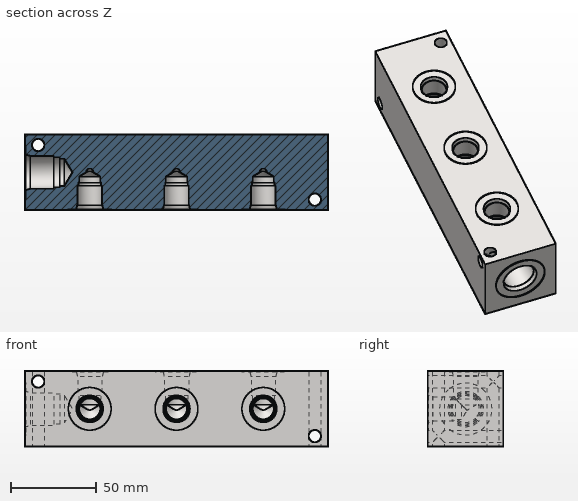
import cadquery as cq
import math

length = 177.8
side = 44.5
half_side = side / 2

port_count = 3
port_pitch = 50.9
first_port_x = length / 2 - port_pitch * (port_count - 1) / 2

mount_diameter = 7.1
mount_end_offset = 7.8
mount_center_offset = 16.0

spotface_depth = 0.5
drill_tip_half_angle = math.radians(59)

end_thread = (19.0, 16.9)
end_minor_bore = (17.5, 20.5)
end_drill = (15.8, 23.1)

side_thread = (14.2, 14.2)
side_minor_bore = (13.0, 16.2)
side_drill = (12.3, 19.7)


def port_cutter(spotface_diameter, seat_mouth_diameter, seat_end_diameter, seat_depth, bores):
    """Stepped port tool with its mouth at the origin, cutting along -Z down to a conical tip.

    The bores are (diameter, depth) pairs from the widest to the narrowest; depths start at the mouth.
    """
    profile = [
        (0, 0),
        (spotface_diameter / 2, 0),
        (spotface_diameter / 2, -spotface_depth),
        (seat_mouth_diameter / 2, -spotface_depth),
        (seat_end_diameter / 2, -seat_depth),
    ]
    bore_start = seat_depth
    for diameter, depth in bores:
        profile += [(diameter / 2, -bore_start), (diameter / 2, -depth)]
        bore_start = depth
    drill_diameter, drill_depth = bores[-1]
    tip_height = drill_diameter / 2 / math.tan(drill_tip_half_angle)
    profile.append((0, -drill_depth - tip_height))
    return cq.Workplane("XZ").polyline(profile).close().revolve(360, (0, 0, 0), (0, 1, 0))


def mount_cutter(x, y):
    """Tool for a vertical hole right through the block."""
    return cq.Workplane("XY").center(x, y).circle(mount_diameter / 2).extrude(half_side, both=True)


def cut_top_and_front(body, tool):
    """Cut a tool into the top face, then its copy turned about the X axis into the front face."""
    front_tool = tool.rotate((0, 0, 0), (1, 0, 0), 90)
    return body.cut(tool).cut(front_tool)


result = cq.Workplane("XY").box(length, side, side, centered=(False, True, True))

end_port = port_cutter(
    spotface_diameter=30.5,
    seat_mouth_diameter=20.8,
    seat_end_diameter=19.2,
    seat_depth=3.2,
    bores=[end_thread, end_minor_bore, end_drill],
)
result = result.cut(end_port.rotate((0, 0, 0), (0, 1, 0), -90))

side_port = port_cutter(
    spotface_diameter=25.0,
    seat_mouth_diameter=15.8,
    seat_end_diameter=14.5,
    seat_depth=3.0,
    bores=[side_thread, side_minor_bore, side_drill],
)
for index in range(port_count):
    port_x = first_port_x + index * port_pitch
    result = cut_top_and_front(result, side_port.translate((port_x, 0, half_side)))

mount_positions = [
    (mount_end_offset, mount_center_offset),
    (length - mount_end_offset, -mount_center_offset),
]
for mount_x, mount_y in mount_positions:
    result = cut_top_and_front(result, mount_cutter(mount_x, mount_y))